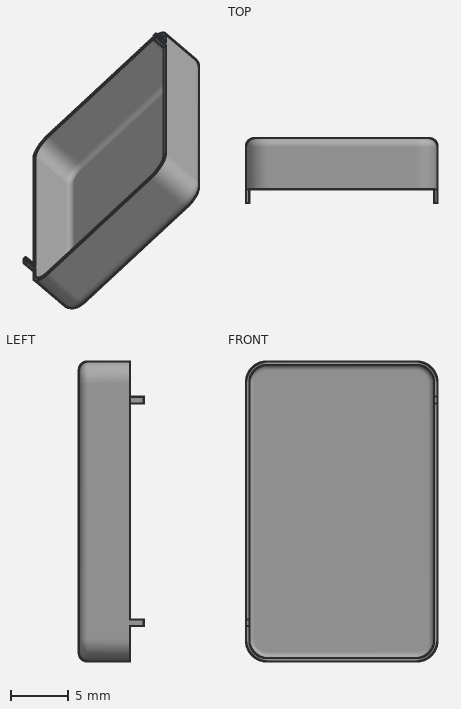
import cadquery as cq

WIDTH = 16.8
HEIGHT = 26.3
SHELL_DEPTH = 4.5
WALL = 0.3
CORNER_RADIUS = 1.9
BACK_EDGE_RADIUS = 0.8

PIN_LENGTH = 1.2
PIN_HEIGHT = 0.6
PIN_THICKNESS = WALL
PIN_OFFSET_Z = 9.75


def rounded_block(inset):
    """Block with rounded corners and back edge, set in from the outside on its sides and back."""
    depth = SHELL_DEPTH - inset
    block = cq.Workplane("XY").box(
        WIDTH - 2 * inset,
        depth,
        HEIGHT - 2 * inset,
        centered=(True, False, True),
    )
    block = block.edges("|Y").fillet(CORNER_RADIUS - inset)
    return block.faces(">Y").edges().fillet(BACK_EDGE_RADIUS - inset)


def rim_pin(side):
    """Pin flush with the outer side wall; side is +1 for the upper +X pin, -1 for the lower -X pin."""
    center_x = side * (WIDTH - PIN_THICKNESS) / 2
    return (
        cq.Workplane("XY")
        .box(PIN_THICKNESS, PIN_LENGTH, PIN_HEIGHT)
        .translate((center_x, -PIN_LENGTH / 2, side * PIN_OFFSET_Z))
    )


result = rounded_block(0).cut(rounded_block(WALL))

for pin_side in (-1, 1):
    result = result.union(rim_pin(pin_side))